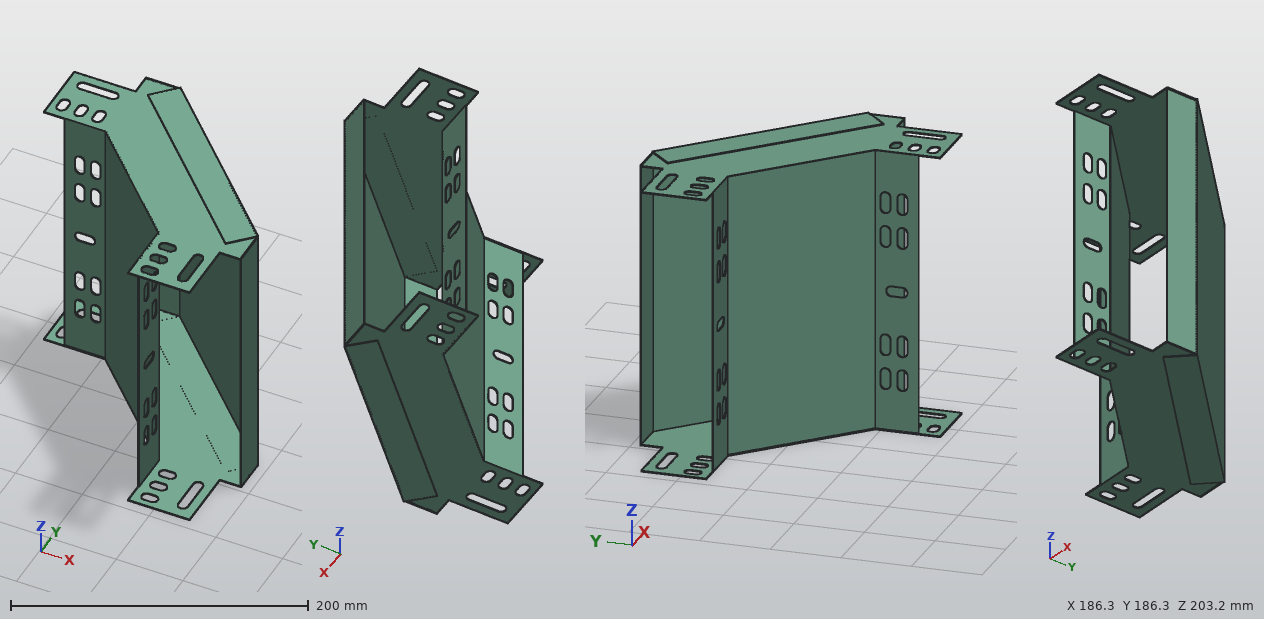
import cadquery as cq
import math


overall_height = 203.2
overall_side = 186.3
sheet = 0.8
fold_angle = 45.0

leg_length = 46.0
leg_setback = 16.0
leg_width = 46.1
panel_length = 25.8
lip_depth = 23.2
flange_length = 30.7

lip_top = overall_height / 2
plate_top = lip_top - sheet
plate_bottom = plate_top - sheet

leg_root = overall_side - leg_length
leg_inner = leg_setback + leg_width
cover_bend = leg_root - panel_length
bend_shift = sheet * math.tan(math.radians(fold_angle / 2))
cover_bend_inside = cover_bend + bend_shift
web_bend_inside = leg_root - bend_shift

crosswise = 90
slot_width = 7.1
plate_slot_length = 12.0
plate_slot_from_end = 8.5
plate_slot_pitch = 13.5
plate_slot_count = 3
plate_slot_from_inner = 12.2
long_slot_length = 30.0
long_slot_from_end = 23.0
long_slot_from_inner = 35.5
flange_slot_length = 15.0
flange_slot_from_end = 26.8
flange_slot_pitch = 12.0
flange_slot_columns = 2
flange_slot_heights = (39.0, 63.5)
centre_slot_from_end = flange_slot_from_end + (flange_slot_length - slot_width) / 2


def prism(points, bottom, top):
    """Upright prism over a plan outline."""
    return cq.Workplane("XY").workplane(offset=bottom).polyline(points).close().extrude(top - bottom)


def with_swapped(points):
    """Extend half an outline by its reflection in the plane X = Y."""
    return points + [(y, x) for x, y in reversed(points)]


def swap_xy(shape):
    """Reflect a shape in the plane X = Y."""
    return shape.mirror(cq.Vector(1, -1, 0))


def plate_slots():
    """Slots through both plates of the leg that points to -X."""
    leg_end = -overall_side
    row = [
        (leg_end + plate_slot_from_end + i * plate_slot_pitch, plate_slot_from_inner - leg_inner)
        for i in range(plate_slot_count)
    ]
    plane = cq.Workplane("XY").workplane(offset=-lip_top)
    short_slots = (
        plane.pushPoints(row)
        .slot2D(plate_slot_length, slot_width, crosswise)
        .extrude(overall_height)
    )
    long_slot = (
        plane.center(leg_end + long_slot_from_end, long_slot_from_inner - leg_inner)
        .slot2D(long_slot_length, slot_width)
        .extrude(overall_height)
    )
    return short_slots.union(long_slot)


def flange_slots():
    """Slots through the flange of the leg that points to -X."""
    leg_end = -overall_side
    grid = [
        (leg_end + flange_slot_from_end + column * flange_slot_pitch, side * height)
        for column in range(flange_slot_columns)
        for height in flange_slot_heights
        for side in (-1, 1)
    ]
    plane = cq.Workplane("XZ", origin=(0, sheet - leg_inner, 0))
    upright = plane.pushPoints(grid).slot2D(flange_slot_length, slot_width, crosswise).extrude(sheet)
    centre = (
        plane.center(leg_end + centre_slot_from_end, 0)
        .slot2D(flange_slot_length, slot_width)
        .extrude(sheet)
    )
    return upright.union(centre)


def make_channel():
    """Two slotted plates joined along their inner edge by a folded web."""
    plate_outline = with_swapped([
        (-leg_root, -leg_inner),
        (-overall_side, -leg_inner),
        (-overall_side, -leg_setback),
        (-leg_root, -leg_setback),
        (-leg_root, -sheet),
        (-cover_bend_inside, -sheet),
    ])
    channel = prism(plate_outline, plate_bottom, plate_top)
    channel = channel.union(prism(plate_outline, -plate_top, -plate_bottom))

    flange_end = leg_root + flange_length
    web_outer = [(-leg_root, -leg_inner), (-flange_end, -leg_inner)]
    web_inner = [(-flange_end, sheet - leg_inner), (-web_bend_inside, sheet - leg_inner)]
    web_outline = with_swapped(web_outer + web_inner)
    channel = channel.union(prism(web_outline, -plate_top, plate_top))

    for slots in (plate_slots(), flange_slots()):
        channel = channel.cut(slots).cut(swap_xy(slots))
    return channel


def make_cover():
    """Folded outer wall with a lip lying on each plate along the diagonal."""
    wall_outline = with_swapped([
        (-cover_bend_inside, -sheet),
        (-leg_root, -sheet),
        (-leg_root, 0),
        (-cover_bend, 0),
    ])
    cover = prism(wall_outline, -plate_top, plate_top)

    lip_reach = lip_depth / math.sqrt(2)
    lip_outline = with_swapped([(-cover_bend, 0), (-cover_bend - lip_reach, -lip_reach)])
    cover = cover.union(prism(lip_outline, plate_top, lip_top))
    return cover.union(prism(lip_outline, -lip_top, -plate_top))


channel = make_channel()
cover = make_cover()

result = cq.Compound.makeCompound([channel.solids().val(), cover.solids().val()])